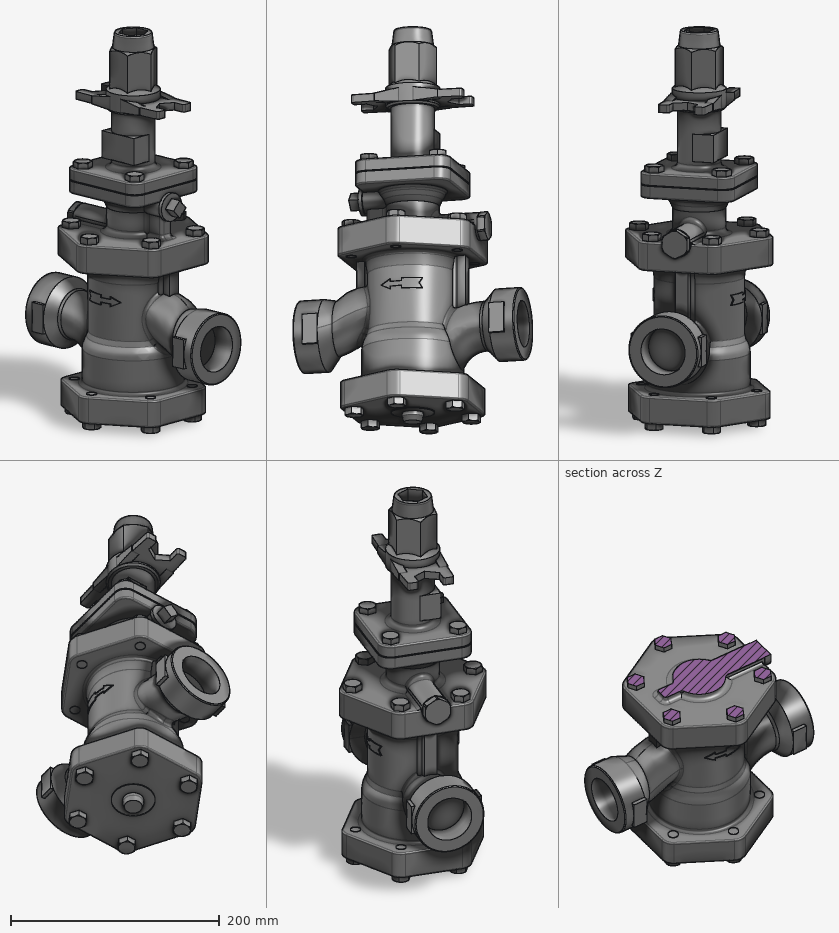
import cadquery as cq
import math


bottom_z = -90.0
cover_bottom_z = -80.0
body_bottom_z = -53.5
body_flange_z = 69.5
cover_top_z = 97.5
square_bottom_z = 136.5
square_split_z = 149.0
square_top_z = 161.0
collar_bottom_z = 218.6
collar_top_z = 238.3
hex_bottom_z = 243.0
hex_top_z = 280.0
top_z = bottom_z + 385.0

lower_body_r = 98 / 2
upper_body_r = 87 / 2
body_top_r = 90 / 2
neck_r = 51 / 2
stem_r = 42 / 2
collar_r = 26.0
cap_r = 20.0
cap_top_r = 18.3

main_flange_flats = 131.08
bottom_flange_flats = 126.5
square_flange_side = 94.0
flange_corner_r = 13.0
flange_edge_r = 1.5

pipe_fillet_r = 4.0
boss_fillet_r = 5.0

bolt_flats = 16.0
bolt_tip_d = 10.0
bolt_tip_height = 0.5
main_bolt_circle_r = 61.0
bottom_bolt_circle_r = 58.0
square_bolt_offset = 34.2

port_end_x = 110.0
port_r = 70 / 2
port_collar_x = 85.4
outlet_neck_x = 74.0
outlet_neck_z = 6.0
outlet_half_width = 47 / 2
outlet_half_height = 27.0
port_bore_d = 44.5
port_bore_depth = 23.0


def hexagon(flats, corner_angle):
    """Corner points of a regular hexagon, one corner at the given angle."""
    corner_r = flats / math.sqrt(3)
    angles = [math.radians(corner_angle + 60 * i) for i in range(6)]
    return [(corner_r * math.cos(a), corner_r * math.sin(a)) for a in angles]


def hex_prism(flats, height, corner_angle):
    return cq.Workplane("XY").polyline(hexagon(flats, corner_angle)).close().extrude(height)


def cylinder_z(radius, z_low, z_high):
    return cq.Workplane("XY").workplane(offset=z_low).circle(radius).extrude(z_high - z_low)


def cylinder_x(radius, x_low, x_high, z):
    return cq.Workplane("YZ", origin=(x_low, 0, z)).circle(radius).extrude(x_high - x_low)


def box(x_range, y_range, z_range):
    size = [high - low for low, high in (x_range, y_range, z_range)]
    low_corner = (x_range[0], y_range[0], z_range[0])
    return cq.Workplane("XY").box(*size, centered=False).translate(low_corner)


def blended_union(base, feature, radius):
    """Join a feature to a base and fillet the edges where their surfaces cross."""
    joined = base.union(feature)
    seam = []
    for edge in joined.edges().vals():
        middle = cq.Vertex.makeVertex(*edge.positionAt(0.5).toTuple())
        on_both = all(part.val().distance(middle) < 1e-3 for part in (base, feature))
        if on_both:
            seam.append(edge)
    return joined.newObject(seam).fillet(radius)


def rounded_flange(blank, z_low):
    """Round the upright corners and ease the top and bottom rims of a flange blank."""
    flange = blank.edges("|Z").fillet(flange_corner_r)
    flange = flange.faces("<Z or >Z").edges().fillet(flange_edge_r)
    return flange.translate((0, 0, z_low))


def hex_head(height, corner_angle):
    """Bolt head on Z = 0 with its outer corners turned down to a cone."""
    rim_r = bolt_flats / 2
    turned_depth = 0.6
    cone = (
        cq.Workplane("XZ")
        .polyline([
            (0, 0),
            (rim_r + 1.7, 0),
            (rim_r + 1.7, height - 2 * turned_depth),
            (rim_r, height),
            (0, height),
        ])
        .close()
        .revolve(360, (0, 0), (0, 1))
    )
    return hex_prism(bolt_flats, height, corner_angle).intersect(cone)


def ring_points(radius):
    angles = [math.radians(30 + 60 * i) for i in range(6)]
    return [(radius * math.cos(a), radius * math.sin(a)) for a in angles]


def place(feature, points, z):
    """Copies of one feature set at several places on a level."""
    copies = [feature.translate((x, y, z)).val() for x, y in points]
    return cq.Workplane(obj=cq.Compound.makeCompound(copies))


def make_body_core():
    root_r = 3.5
    shoulder_low_z = -18.8
    shoulder_high_z = -6.7
    waist_z = -1.2
    taper_low_z = 55.0
    shoulder_r = upper_body_r + 1.5
    return (
        cq.Workplane("XZ")
        .moveTo(0, body_bottom_z)
        .lineTo(lower_body_r + root_r, body_bottom_z)
        .radiusArc((lower_body_r, body_bottom_z + root_r), root_r)
        .lineTo(lower_body_r, shoulder_low_z)
        .threePointArc((lower_body_r - 1.1, shoulder_low_z + 6), (shoulder_r, shoulder_high_z))
        .lineTo(upper_body_r, waist_z)
        .lineTo(upper_body_r, taper_low_z)
        .lineTo(body_top_r, body_flange_z - root_r)
        .radiusArc((body_top_r + root_r, body_flange_z), root_r)
        .lineTo(0, body_flange_z)
        .close()
        .revolve(360, (0, 0), (0, 1))
    )


def make_neck():
    """Neck between the main cover and the square flange, flaring out at both ends."""
    root_r = 6.0
    flare_r = 32.0
    step_r = 28.0
    step_z = square_bottom_z - 4.5
    throat_z = square_bottom_z - 14.5
    return (
        cq.Workplane("XZ")
        .moveTo(0, cover_top_z)
        .lineTo(neck_r + root_r, cover_top_z)
        .radiusArc((neck_r, cover_top_z + root_r), root_r)
        .lineTo(neck_r, throat_z)
        .lineTo(step_r, step_z - 4.5)
        .lineTo(flare_r - 1, step_z)
        .lineTo(flare_r, square_bottom_z - 2.3)
        .lineTo(flare_r + 1.5, square_bottom_z)
        .lineTo(0, square_bottom_z)
        .close()
        .revolve(360, (0, 0), (0, 1))
    )


def make_stem():
    root_r = 5.7
    collar_edge = 2.0
    return (
        cq.Workplane("XZ")
        .moveTo(0, square_top_z)
        .lineTo(stem_r + root_r, square_top_z)
        .radiusArc((stem_r, square_top_z + root_r), root_r)
        .lineTo(stem_r, collar_bottom_z)
        .lineTo(collar_r - collar_edge, collar_bottom_z)
        .lineTo(collar_r, collar_bottom_z + collar_edge)
        .lineTo(collar_r, collar_top_z)
        .lineTo(cap_r, hex_bottom_z)
        .lineTo(cap_r, hex_top_z)
        .lineTo(cap_top_r, top_z - 1.5)
        .lineTo(cap_top_r - 0.6, top_z)
        .lineTo(0, top_z)
        .close()
        .revolve(360, (0, 0), (0, 1))
    )


def make_adjusting_hex():
    """Hexagon on the screw cap, its corners turned down at both ends."""
    hex_flats = 41.0
    hex_corner_r = hex_flats / math.sqrt(3)
    turned_height = 3.0
    low_z = collar_top_z + 1.0
    turned = (
        cq.Workplane("XZ")
        .polyline([
            (0, low_z),
            (hex_corner_r + 0.1, low_z),
            (hex_corner_r + 0.1, hex_top_z - turned_height),
            (cap_r, hex_top_z),
            (0, hex_top_z),
        ])
        .close()
        .revolve(360, (0, 0), (0, 1))
    )
    prism = hex_prism(hex_flats, hex_top_z - low_z, 0).translate((0, 0, low_z))
    return prism.intersect(turned)


def make_hex_socket():
    socket_flats = 25.0
    socket_depth = 12.0
    return hex_prism(socket_flats, socket_depth, 0).translate((0, 0, top_z - socket_depth))


def make_spanner_block():
    block_half_width = stem_r + 0.1
    block_front_y = -21.4
    return box((-block_half_width, block_half_width), (block_front_y, 0), (170.2, 197.0))


def make_handle():
    """Flat two-armed handle, forked at both ends, with a tapered rib along each side."""
    plate_low_z = 222.6
    plate_high_z = 230.2
    arm_x = 55.0
    tip_half_y = 23.2
    hub_half_y = 25.0
    rib_end_x = 31.5
    rib_start_x = 6.3
    rib_inner_y = 16.4
    rib_top_z = 234.4
    rib_low_z = 220.6
    fork_half_y = 12.6
    fork_shoulder_x = 42.5
    fork_root_x = 35.0
    tip_round_r = 2.0
    arm = (
        cq.Workplane("XY")
        .workplane(offset=plate_low_z)
        .polyline([
            (0, -hub_half_y),
            (rib_start_x, -hub_half_y),
            (arm_x, -tip_half_y),
            (arm_x, -fork_half_y),
            (fork_shoulder_x, -fork_half_y),
            (fork_root_x, 0),
            (fork_shoulder_x, fork_half_y),
            (arm_x, fork_half_y),
            (arm_x, tip_half_y),
            (rib_start_x, hub_half_y),
            (0, hub_half_y),
        ])
        .close()
        .extrude(plate_high_z - plate_low_z)
    )
    arm = arm.edges("|Z and >X").fillet(tip_round_r)
    rib = (
        cq.Workplane("XZ", origin=(0, -rib_inner_y, 0))
        .polyline([
            (rib_start_x, rib_low_z),
            (rib_end_x, plate_low_z),
            (rib_end_x, plate_high_z),
            (rib_start_x, rib_top_z),
        ])
        .close()
        .extrude(hub_half_y - rib_inner_y)
    )
    half = arm.union(rib).union(rib.mirror("XZ"))
    return half.union(half.mirror("YZ"))


def footed_profile(half_width, foot, top, x_low, x_high):
    """Bar along X standing on the main cover, with a concave fillet along each foot."""
    low_z = cover_top_z - 1.0
    return (
        cq.Workplane("YZ", origin=(x_low, 0, 0))
        .moveTo(-half_width - foot, low_z)
        .lineTo(-half_width - foot, cover_top_z)
        .radiusArc((-half_width, cover_top_z + foot), -foot)
        .lineTo(-half_width, top)
        .lineTo(half_width, top)
        .lineTo(half_width, cover_top_z + foot)
        .radiusArc((half_width + foot, cover_top_z), -foot)
        .lineTo(half_width + foot, low_z)
        .close()
        .extrude(x_high - x_low)
    )


def make_left_boss():
    """Pilot boss lying on the main cover, closed by a hexagon plug."""
    boss_r = 27 / 2
    axis_z = 98.4
    foot = 4.0
    plug_end_x = -75.0
    plug_seat_x = -67.5
    plug_flats = 25.0
    plug_r = 28 / 2
    flange_x = main_flange_flats / 2
    neck = cylinder_z(neck_r, axis_z - 1.5 * boss_r, axis_z + 1.5 * boss_r)
    boss = blended_union(neck, cylinder_x(boss_r, plug_seat_x, 0, axis_z), boss_fillet_r)
    feet = footed_profile(boss_r - 0.6, foot, axis_z + foot, -flange_x + flange_edge_r, 0)
    plug = (
        cq.Workplane("YZ", origin=(plug_end_x, 0, axis_z))
        .polyline(hexagon(plug_flats, 90))
        .close()
        .extrude(plug_seat_x - plug_end_x)
        .intersect(cylinder_x(plug_r, plug_end_x, plug_seat_x, axis_z).faces("<X").chamfer(0.8))
    )
    return boss.union(feet).union(plug)


def make_right_boss():
    """Side boss on the neck, closed by a square-headed plug."""
    axis_z = 130.0
    boss_r = 24 / 2
    rim_r = 28 / 2
    rim_x = 47.0
    rim_end_x = 50.6
    plug_end_x = 61.5
    plug_corner_r = 8.7
    boss = cylinder_x(boss_r, 0, rim_x, axis_z).union(cylinder_x(rim_r, rim_x, rim_end_x, axis_z))
    plug = (
        cq.Workplane("YZ", origin=(rim_end_x, 0, axis_z))
        .polygon(4, 2 * plug_corner_r)
        .extrude(plug_end_x - rim_end_x)
    )
    return boss.union(plug)


def make_boss_web():
    """Web under the side boss, blended into the neck and the main cover."""
    web_x = 44.5
    web_half_width = 7.0
    web_edge_r = 3.0
    web_fillet_r = 5.0
    web_top_z = 122.0
    cover_disc_r = 55.0
    web = box((0, web_x), (-web_half_width, web_half_width), (cover_top_z, web_top_z))
    web = web.edges("|Z and >X").fillet(web_edge_r)
    neck = cylinder_z(neck_r, cover_top_z, web_top_z)
    cover = cylinder_z(cover_disc_r, cover_top_z - 2, cover_top_z)
    return blended_union(neck.union(cover), web, web_fillet_r)


def make_body_rib(side, low_z):
    """Upright rib under the main flange, above one of the ports, with concave roots on the body."""
    rib_x = 54.0
    rib_half_width = 6.4
    root_r = 3.6
    root_half_width = rib_half_width + root_r
    root_x = math.sqrt(upper_body_r ** 2 - root_half_width ** 2)
    rib = (
        cq.Workplane("XY", origin=(0, 0, low_z))
        .moveTo(0, -root_half_width)
        .lineTo(root_x, -root_half_width)
        .radiusArc((root_x + root_r, -rib_half_width), -root_r)
        .lineTo(rib_x, -rib_half_width)
        .lineTo(rib_x, rib_half_width)
        .lineTo(root_x + root_r, rib_half_width)
        .radiusArc((root_x, root_half_width), -root_r)
        .lineTo(0, root_half_width)
        .close()
        .extrude(body_flange_z - low_z)
    )
    return rib if side > 0 else rib.mirror("YZ")


def make_port_end(side):
    """Port collar with a pair of spanner pads."""
    pad_half_height = 14.5
    pad_half_width = 35.6
    pad_outer_x = 100.2
    collar = cylinder_x(port_r, port_collar_x, port_end_x, 0).faces(">X").chamfer(1.0)
    pads = box(
        (port_collar_x, pad_outer_x),
        (-pad_half_width, pad_half_width),
        (-pad_half_height, pad_half_height),
    )
    end = collar.union(pads)
    return end if side > 0 else end.mirror("YZ")


def make_left_pipe():
    """Inlet: coned neck, then a pipe bending down into the lower body."""
    pipe_r = 48 / 2
    bend_r = 49.0
    bend_x = -73.0
    bend_angle = 82
    cone = (
        cq.Workplane("XY")
        .polyline([
            (bend_x, 0),
            (bend_x, pipe_r),
            (bend_x - 3, pipe_r + 1.2),
            (-port_collar_x, port_r),
            (-port_collar_x, 0),
        ])
        .close()
        .revolve(360, (0, 0), (1, 0))
    )
    elbow = (
        cq.Workplane("YZ", origin=(bend_x, 0, 0))
        .circle(pipe_r)
        .revolve(bend_angle, (-1, -bend_r), (1, -bend_r))
    )
    pipe = cone.union(elbow)
    wall = cylinder_z(upper_body_r, -2 * port_r, body_flange_z)
    blend = blended_union(wall, pipe, pipe_fillet_r)
    blend_low_z = -6.0
    reach = (-port_end_x, port_end_x)
    upper = blend.intersect(box(reach, reach, (blend_low_z, body_flange_z)))
    lower = pipe.intersect(box(reach, reach, (-port_end_x, blend_low_z)))
    return upper.union(lower)


def oval(x, centre_z, half_width, half_height):
    """Upright oval outline facing along X."""
    centre = cq.Vector(x, 0, centre_z)
    return cq.Wire.makeEllipse(half_width, half_height, centre, cq.Vector(1, 0, 0), cq.Vector(0, 1, 0))


def make_right_pipe():
    """Outlet pipe leaving the upper body and sinking to the off-centre neck, one smooth loft."""
    sections = [
        oval(30.0, 22.0, outlet_half_width, 23.5),
        oval(46.0, 18.7, outlet_half_width, 26.7),
        oval(58.0, 14.3, outlet_half_width, 28.8),
        oval(outlet_neck_x, outlet_neck_z, outlet_half_width, outlet_half_height),
    ]
    return cq.Workplane(obj=cq.Solid.makeLoft(sections))


def make_right_neck():
    """Off-centre oval neck widening to the round port collar."""
    neck = oval(outlet_neck_x, outlet_neck_z, outlet_half_width, outlet_half_height)
    collar = oval(port_collar_x, 0, port_r, port_r)
    return cq.Workplane(obj=cq.Solid.makeLoft([neck, collar], True))


def make_bore(side):
    bore = cylinder_x(port_bore_d / 2, port_end_x - port_bore_depth, port_end_x, 0)
    return bore if side > 0 else bore.mirror("YZ")


def make_arrow():
    """Flow arrow standing slightly proud of the front and back of the body."""
    middle_z = 37.2
    half_height = 5.0
    shaft_half_height = 2.3
    tail_x = -20.5
    head_x = 10.5
    proud = 1.0
    upper = [
        (tail_x + 3, 0),
        (tail_x, half_height),
        (-1, half_height),
        (-1, shaft_half_height),
        (head_x, shaft_half_height),
        (head_x, half_height),
        (-tail_x, 0),
    ]
    lower = [(x, -z) for x, z in reversed(upper[1:-1])]
    blank = (
        cq.Workplane("XZ", origin=(0, 0, middle_z))
        .polyline(upper + lower)
        .close()
        .extrude(lower_body_r, both=True)
    )
    low_z = middle_z - half_height
    high_z = middle_z + half_height
    return blank.intersect(cylinder_z(upper_body_r + proud, low_z, high_z))


def make_bottom_plug():
    pad_z = cover_bottom_z - 1.0
    plug_r = 10.2
    plug_tip_r = 8.6
    plug_taper_z = -84.7
    return (
        cq.Workplane("XZ")
        .polyline([
            (0, cover_bottom_z),
            (stem_r, cover_bottom_z),
            (stem_r, pad_z),
            (plug_r, pad_z),
            (plug_r, plug_taper_z),
            (plug_tip_r, bottom_z),
            (0, bottom_z),
        ])
        .close()
        .revolve(360, (0, 0), (0, 1))
    )


def make_flanges():
    main_height = cover_top_z - body_flange_z
    bottom_height = body_bottom_z - cover_bottom_z
    square_height = square_top_z - square_bottom_z
    square_blank = (
        cq.Workplane("XY").rect(square_flange_side, square_flange_side).extrude(square_height)
    )
    gasket_gap = 1.0
    gasket_recess = 0.5
    gasket_outer = cq.Workplane("XY").rect(2 * square_flange_side, 2 * square_flange_side).extrude(gasket_gap)
    gasket_side = square_flange_side - 2 * gasket_recess
    gasket_inner = cq.Workplane("XY").rect(gasket_side, gasket_side).extrude(gasket_gap)
    gasket_inner = gasket_inner.edges("|Z").fillet(flange_corner_r - gasket_recess)
    groove = gasket_outer.cut(gasket_inner).translate((0, 0, square_split_z - gasket_gap / 2))
    square = rounded_flange(square_blank, square_bottom_z).cut(groove)
    main = rounded_flange(hex_prism(main_flange_flats, main_height, 90), body_flange_z)
    bottom = rounded_flange(hex_prism(bottom_flange_flats, bottom_height, 90), cover_bottom_z)
    return [square, main, bottom]


def make_bolts():
    main_points = ring_points(main_bolt_circle_r)
    bottom_points = ring_points(bottom_bolt_circle_r)
    square_points = [
        (sx * square_bolt_offset, sy * square_bolt_offset) for sx in (-1, 1) for sy in (-1, 1)
    ]
    main_head = hex_head(6.5, 0)
    square_head = hex_head(6.0, 45)
    bottom_head = hex_head(7.0, 90).mirror("XY")
    tip = cylinder_z(bolt_tip_d / 2, 0, bolt_tip_height)
    return [
        place(main_head, main_points, cover_top_z),
        place(tip.mirror("XY"), main_points, body_flange_z),
        place(square_head, square_points, square_top_z),
        place(bottom_head, bottom_points, cover_bottom_z),
        place(tip, bottom_points, body_bottom_z),
    ]


square_flange, main_flange, bottom_flange = make_flanges()
features = [
    main_flange,
    square_flange,
    bottom_flange,
    make_neck(),
    make_stem(),
    make_adjusting_hex(),
    make_spanner_block(),
    make_handle(),
    make_left_boss(),
    make_right_boss(),
    make_boss_web(),
    make_body_rib(-1, 10.0),
    make_body_rib(1, 35.0),
    make_left_pipe(),
    make_port_end(-1),
    make_port_end(1),
    make_right_neck(),
    make_arrow(),
    make_bottom_plug(),
] + make_bolts()
result = blended_union(make_body_core(), make_right_pipe(), pipe_fillet_r)
for feature in features:
    result = result.union(feature)
for side in (-1, 1):
    result = result.cut(make_bore(side))
result = result.cut(make_hex_socket())